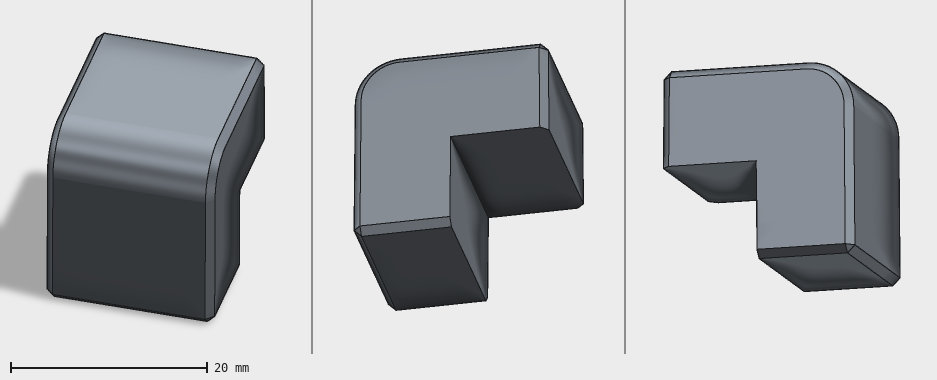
import cadquery as cq
import math

width = 17.73
depth = 20.35
height = 20.1

arm_thickness = height / 2
notch_depth = 10.1
lean_angle = 0.5
corner_radius = 4.78
chamfer = 0.8

lean = math.tan(math.radians(lean_angle))
bottom = -height / 2
top = height / 2
notch_z = top - arm_thickness
notch_y = depth / 2 - notch_depth

front_bottom_y = -depth / 2 - chamfer * lean
front_top_y = front_bottom_y + height * lean
back_bottom_y = depth / 2
back_top_y = back_bottom_y - arm_thickness * lean
notch_bottom_y = notch_y - (notch_z - bottom) * lean


def make_angle_block():
    """L-shaped profile in the YZ plane, extruded along X with a rounded outer corner."""
    profile = [
        (front_bottom_y, bottom),
        (front_top_y, top),
        (back_top_y, top),
        (back_bottom_y, notch_z),
        (notch_y, notch_z),
        (notch_bottom_y, bottom),
    ]
    block = cq.Workplane("YZ").polyline(profile).close().extrude(width / 2, both=True)
    return block.edges(cq.selectors.NearestToPointSelector((0, front_top_y, top))).fillet(corner_radius)


def chamfer_outer_edges(block):
    """Chamfer every edge around the outside; the notch edges stay sharp."""
    top_edges = block.faces(">Z").edges("|Y or >Y")
    bottom_edges = block.faces("<Z").edges("|Y or <Y")
    leaning_edges = block.faces("<Y or >Y").edges("<X or >X")
    round_edges = block.edges("%CIRCLE")
    edges = top_edges.add(bottom_edges).add(leaning_edges).add(round_edges)
    return edges.chamfer(chamfer)


result = chamfer_outer_edges(make_angle_block())